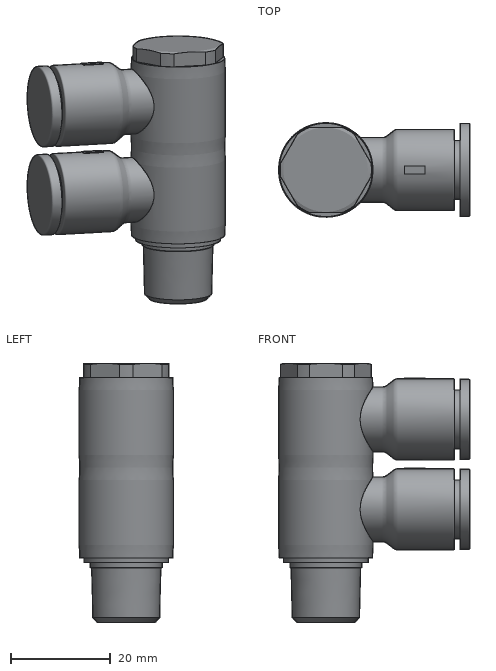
import cadquery as cq
import math

overall_height = 52.0
tip_chamfer_height = 1.05
tip_diameter = 11.55
thread_bottom_diameter = 13.5
thread_top_diameter = 14.0
thread_top = 10.9
collar_bottom = 11.1
collar_diameter = 14.45
flange_bottom = 12.0
flange_diameter = 17.05

sleeve_bottom = 13.0
sleeve_pitch = 18.05
sleeve_top = 49.15
sleeve_diameter = 19.0
sleeve_end_diameter = 18.7
draft_height = 2.5

hex_across_flats = 17.05
hex_corner_diameter = 18.3
hex_face_diameter = 16.95
hex_chamfer_drop = 0.2

port_count = 2
lower_port_height = 22.7
port_neck_diameter = 13.05
port_diameter = 16.35
cone_start = 11.85
cone_end = 14.0
cone_blend_radius = 1.2
port_end = 25.8
port_end_round = 0.25

collet_neck_diameter = 11.85
collet_start = 26.95
collet_end = 28.9
collet_width = 18.7
collet_height = 16.1
collet_round = 0.3

pad_start = 15.8
pad_length = 4.1
pad_width = 1.6
pad_rise = 0.1


def disc(diameter, bottom, top):
    """Cylinder on the Z axis."""
    return cq.Workplane("XY").workplane(offset=bottom).circle(diameter / 2).extrude(top - bottom)


def make_thread_end():
    """Tapered thread envelope with a chamfered tip, a collar with a bevelled lower edge, and a flange."""
    return (
        cq.Workplane("XZ")
        .moveTo(0, 0)
        .lineTo(tip_diameter / 2, 0)
        .lineTo(thread_bottom_diameter / 2, tip_chamfer_height)
        .lineTo(thread_top_diameter / 2, thread_top)
        .lineTo(collar_diameter / 2, collar_bottom)
        .lineTo(collar_diameter / 2, flange_bottom)
        .lineTo(flange_diameter / 2, flange_bottom)
        .lineTo(flange_diameter / 2, sleeve_bottom)
        .lineTo(0, sleeve_bottom)
        .close()
        .revolve(360, (0, 0, 0), (0, 1, 0))
    )


def make_sleeve(bottom, top):
    """One sleeve: full diameter in the middle, drafted at both ends."""
    return (
        cq.Workplane("XZ")
        .moveTo(0, bottom)
        .lineTo(sleeve_end_diameter / 2, bottom)
        .lineTo(sleeve_diameter / 2, bottom + draft_height)
        .lineTo(sleeve_diameter / 2, top - draft_height)
        .lineTo(sleeve_end_diameter / 2, top)
        .lineTo(0, top)
        .close()
        .revolve(360, (0, 0, 0), (0, 1, 0))
    )


def make_hex_head():
    """Hexagon with two flats facing +Y and -Y, corners turned and top edge chamfered."""
    across_corners = hex_across_flats / math.cos(math.radians(30))
    height = overall_height - sleeve_top
    prism = cq.Workplane("XY").workplane(offset=sleeve_top).polygon(6, across_corners).extrude(height)
    blank = (
        disc(hex_corner_diameter, sleeve_top, overall_height)
        .faces(">Z")
        .chamfer(hex_chamfer_drop, (hex_corner_diameter - hex_face_diameter) / 2)
    )
    return prism.intersect(blank)


def make_port(height):
    """Port body, collet neck, oval collet and pad around an X axis at the given height."""
    body = (
        cq.Workplane("XY")
        .moveTo(0, 0)
        .lineTo(0, port_neck_diameter / 2)
        .lineTo(cone_start, port_neck_diameter / 2)
        .lineTo(cone_end, port_diameter / 2)
        .lineTo(port_end, port_diameter / 2)
        .lineTo(port_end, 0)
        .close()
        .revolve(360, (0, 0, 0), (1, 0, 0))
    )
    cone_edges = cq.selectors.BoxSelector(
        (cone_start / 2, -port_diameter, -port_diameter),
        ((cone_end + port_end) / 2, port_diameter, port_diameter),
    )
    body = body.edges("%CIRCLE").edges(cone_edges).fillet(cone_blend_radius)
    body = body.faces(">X").edges().fillet(port_end_round)

    neck = cq.Workplane("YZ").circle(collet_neck_diameter / 2).extrude(collet_start)
    collet = (
        cq.Workplane("YZ")
        .workplane(offset=collet_start)
        .ellipse(collet_width / 2, collet_height / 2)
        .extrude(collet_end - collet_start)
        .faces(">X")
        .edges()
        .fillet(collet_round)
    )
    pad_top = port_diameter / 2 + pad_rise
    pad = cq.Workplane("XY").box(pad_length, pad_width, pad_top, centered=(False, True, False))
    pad = pad.translate((pad_start, 0, 0))
    return body.union(neck).union(collet).union(pad).translate((0, 0, height))


seam = sleeve_bottom + sleeve_pitch
result = make_thread_end()
result = result.union(make_sleeve(sleeve_bottom, seam))
result = result.union(make_sleeve(seam, sleeve_top))
result = result.union(make_hex_head())
for index in range(port_count):
    result = result.union(make_port(lower_port_height + index * sleeve_pitch))